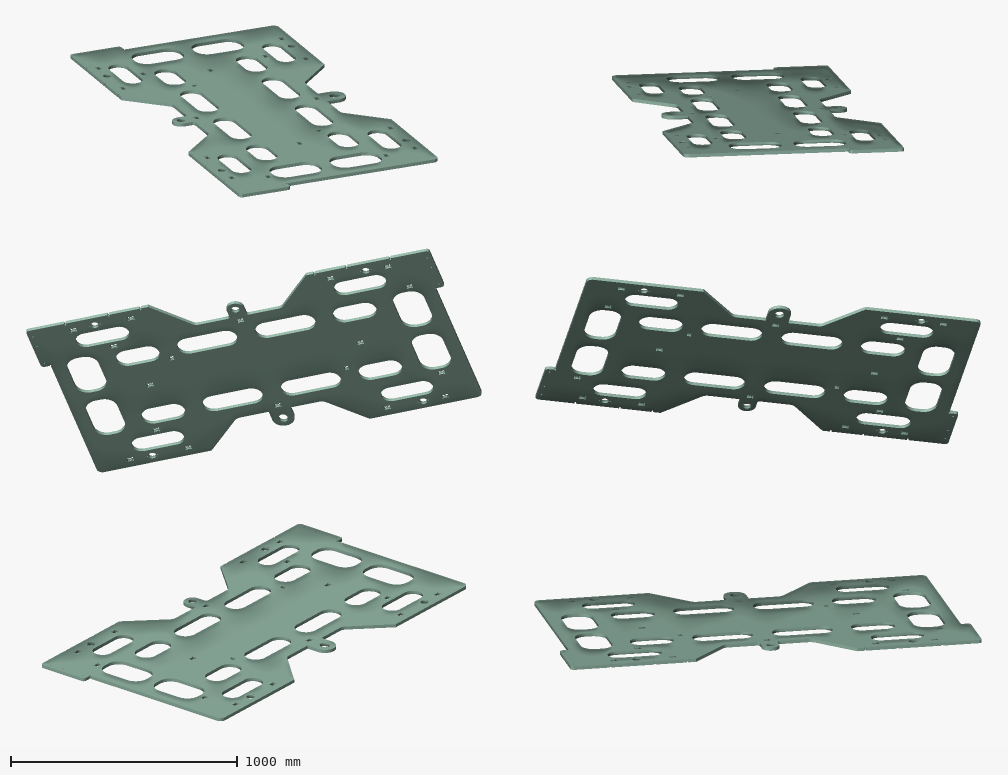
import cadquery as cq

length = 1855.0
depth = 980.0
thickness = 15.0

mid_y = 2.0

body_half_length = 885.0
shoulder_y = -245.0
waist_half_width = 317.0
waist_half_length = 198.0
flare_half_length = 364.0
body_corner_radius = 26.0
hip_corner_radius = 15.0
waist_corner_radius = 37.0

rear_lug_radius = 50.0
rear_lug_y = 377.0
rear_lug_hole = (40.0, 48.0)
front_lug_radius = 39.0
front_lug_y = -364.0
front_lug_hole_diameter = 37.0
front_lug_root_radius = 11.0

row_y = 197.0
row_slot_width = 100.0
long_slot_x = 180.0
long_slot_length = 273.0
short_slot_x = 499.0
short_slot_length = 197.0
end_window_x = 750.0
end_window_y = 145.0
end_window_size = (143.0, 232.0)
end_window_radius = 60.0
corner_slot_x = 573.0
corner_slot_y = 362.0
corner_slot_length = 237.0
corner_slot_width = 89.0
shifted_slot_x = -612.0
shifted_slot_length = 243.0

tool_diameter = 7.0
socket_length = 30.0
socket_width = 17.6
short_socket_length = 19.0
outer_socket_x = 723.0
inner_socket_x = 458.0
edge_socket_y = 441.0
waist_socket_y = 290.0
rear_socket_xs = (-558.0, 0, 753.0)
front_socket_xs = (-582.0, 0, 777.0)
centre_socket_xs = (-500.0, 465.0)
short_socket_x = 360.0
short_socket_y = 141.0

bore_x = 623.0
bore_y = 445.0
bore_diameter = 35.0
screw_offset = 25.0
screw_diameter = 5.0

hip_hole_x = 907.0
hip_hole_ys = (-267.0, -382.0, -447.0)
notch_xs = (400.0, 547.0, 748.0)
notch_depth = 11.0


def mirrored(x, y):
    """Four points mirrored about the YZ plane and about the cut-out line."""
    return [(sx * x, mid_y + sy * y) for sx in (-1, 1) for sy in (-1, 1)]


def prism(sketch):
    return sketch.extrude(thickness)


def slots(points, slot_length, slot_width):
    return prism(cq.Workplane().pushPoints(points).slot2D(slot_length, slot_width))


def holes(points, diameter):
    return prism(cq.Workplane().pushPoints(points).circle(diameter / 2))


def sockets(points, size_x):
    """Rectangular sockets with a tool-round relief on the long edges at each corner."""
    relief_x = (size_x - tool_diameter) / 2
    relief_y = socket_width / 2
    reliefs = [
        (x + sx * relief_x, y + sy * relief_y)
        for x, y in points for sx in (-1, 1) for sy in (-1, 1)
    ]
    slits = prism(cq.Workplane().pushPoints(points).rect(size_x, socket_width))
    return slits.union(holes(reliefs, tool_diameter))


def corners(half_x, y):
    """Selector for the two vertical edges at plus and minus half_x."""
    reach = 2.0
    boxes = [
        cq.selectors.BoxSelector((x - reach, y - reach, -reach), (x + reach, y + reach, thickness + reach))
        for x in (-half_x, half_x)
    ]
    return boxes[0] + boxes[1]


def make_outline():
    rear_y = depth / 2
    front_y = -depth / 2
    rear_waist_y = mid_y + waist_half_width
    front_waist_y = mid_y - waist_half_width
    right_side = [
        (waist_half_length, front_waist_y),
        (flare_half_length, front_y),
        (length / 2, front_y),
        (length / 2, shoulder_y),
        (body_half_length, shoulder_y),
        (body_half_length, rear_y),
        (flare_half_length, rear_y),
        (waist_half_length, rear_waist_y),
    ]
    left_side = [(-x, y) for x, y in reversed(right_side)]
    plate = prism(cq.Workplane().polyline(right_side + left_side).close())
    plate = plate.edges(corners(body_half_length, rear_y)).fillet(body_corner_radius)
    for y in (front_y, shoulder_y):
        plate = plate.edges(corners(length / 2, y)).fillet(hip_corner_radius)
    for y in (front_waist_y, rear_waist_y):
        plate = plate.edges(corners(waist_half_length, y)).fillet(waist_corner_radius)

    plate = plate.union(make_lug(rear_lug_radius, rear_lug_y))
    plate = plate.union(make_lug(front_lug_radius, front_lug_y))
    return plate.edges(corners(front_lug_radius, front_waist_y)).fillet(front_lug_root_radius)


def make_lug(radius, y):
    """Round-ended tongue reaching from the plate middle to a lug centred at y."""
    tongue = prism(cq.Workplane().center(0, y / 2).rect(2 * radius, abs(y)))
    return tongue.union(holes([(0, y)], 2 * radius))


def cut_lightening_slots(plate):
    plate = plate.cut(slots(mirrored(long_slot_x, row_y), long_slot_length, row_slot_width))
    plate = plate.cut(slots(mirrored(short_slot_x, row_y), short_slot_length, row_slot_width))
    windows = prism(cq.Workplane().pushPoints(mirrored(end_window_x, end_window_y)).rect(*end_window_size))
    plate = plate.cut(windows.edges("|Z").fillet(end_window_radius))
    front_y = mid_y - corner_slot_y
    rear_y = mid_y + corner_slot_y
    regular = [(-corner_slot_x, rear_y), (corner_slot_x, rear_y), (corner_slot_x, front_y)]
    plate = plate.cut(slots(regular, corner_slot_length, corner_slot_width))
    return plate.cut(slots([(shifted_slot_x, front_y)], shifted_slot_length, corner_slot_width))


def cut_sockets(plate):
    points = mirrored(outer_socket_x, edge_socket_y) + mirrored(inner_socket_x, edge_socket_y)
    points += [(x, mid_y + waist_socket_y) for x in rear_socket_xs]
    points += [(x, mid_y - waist_socket_y) for x in front_socket_xs]
    points += [(x, mid_y) for x in centre_socket_xs]
    plate = plate.cut(sockets(points, socket_length))
    short_points = [(s * short_socket_x, mid_y + s * short_socket_y) for s in (-1, 1)]
    return plate.cut(sockets(short_points, short_socket_length))


def cut_holes(plate):
    bores = mirrored(bore_x, bore_y)
    screws = [(x + s * screw_offset, y) for x, y in bores for s in (-1, 1)]
    hip_holes = [(s * hip_hole_x, y) for s in (-1, 1) for y in hip_hole_ys]
    plate = plate.cut(holes(bores, bore_diameter))
    plate = plate.cut(holes(screws, screw_diameter))
    plate = plate.cut(holes(hip_holes, tool_diameter))
    plate = plate.cut(prism(cq.Workplane().center(0, rear_lug_y).ellipse(*[d / 2 for d in rear_lug_hole])))
    return plate.cut(holes([(0, front_lug_y)], front_lug_hole_diameter))


def cut_edge_reliefs(plate):
    """Round-ended notches in the front edge and round reliefs in the shoulder corners."""
    notches = [(s * x, -depth / 2) for s in (-1, 1) for x in notch_xs]
    notch_tool = cq.Workplane().pushPoints(notches).slot2D(2 * notch_depth, tool_diameter, 90)
    shoulders = [(s * body_half_length, shoulder_y) for s in (-1, 1)]
    return plate.cut(prism(notch_tool)).cut(holes(shoulders, tool_diameter))


result = make_outline()
result = cut_lightening_slots(result)
result = cut_sockets(result)
result = cut_holes(result)
result = cut_edge_reliefs(result)